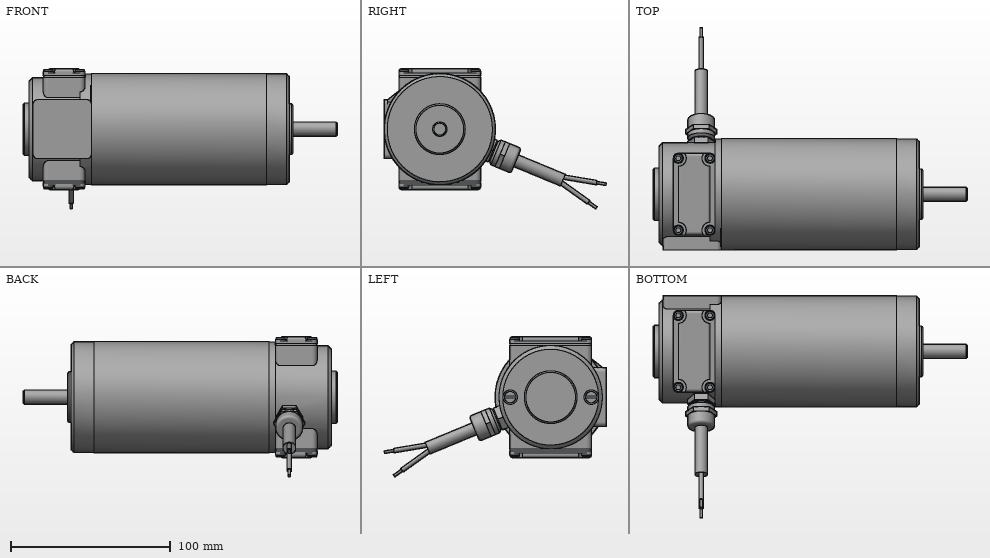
import cadquery as cq
import math


rear_face_x = 3.5
flange_x = 38.8
tube_x = 42.7
front_cap_x = 152.5
front_face_x = 166.9
front_boss_end_x = 169.2
shaft_end_x = 197

rear_boss_dia = 33.0
housing_dia = 64.8
cap_dia = 69.5
tube_dia = 70.0
front_boss_dia = 32.0
shaft_dia = 9.0

housing_chamfer = 2.4
front_cap_chamfer = 1.8
boss_chamfer = 1.0
shaft_chamfer = 0.8

rear_screw_y = 25.5
rear_bore_dia = 9.0
rear_bore_depth = 7.9
rear_head_dia = 7.0
rear_head_height = 3.0
rear_slot_width = 1.2
rear_slot_depth = 1.4

segment_edge_y = -19.7

pad_x = 6.3
pad_half_height = 18.5
pad_corner = 2.8

gusset_thickness = 0.4
gusset_foot_y = -32.7

box_x = 12.6
box_length = flange_x - box_x
box_width = 51.5
box_corner = 3.2
box_top_z = 32.5
gasket_height = 1.2
gasket_inset = 0.2
lid_height = 1.4
panel_height = 3.0
panel_side_fillet = 1.5
panel_end_fillet = 2.2
ear_height = 1.2
lid_head_dia = 6
lid_head_height = 1.2
lid_head_chamfer = 0.4
socket_width = 3.0
socket_depth = 1.4
scoop_dia = 10.0

gland_x = 30.1
gland_tilt = 22.5
base_hex_start = 28.5
base_hex_end = 35.9
base_hex_width = 14.8
neck_dia = 14.0
collar_start = 36.6
nut_start = 41.0
nut_end = 44.0
nut_width = 17.0
nose_dia = 17.0
nose_end = 51.8
collar_chamfer = (nose_dia - neck_dia) / 2
nose_fillet = 1.8
cable_dia = 8.0
cable_end = 83.5
wire_start = 74.9
wire_spread = 13
wire_dia = 3.0
core_dia = 1.8
insulation_length = 29.5
core_length = 35.7


def rod_x(diameter, start, end):
    """Cylinder on the motor axis between two X stations."""
    return cq.Workplane("YZ", origin=(start, 0, 0)).circle(diameter / 2).extrude(end - start)


def make_motor_body():
    rear_boss = rod_x(rear_boss_dia, 0, rear_face_x).faces("<X").chamfer(boss_chamfer)
    housing = rod_x(housing_dia, rear_face_x, tube_x).faces("<X").chamfer(housing_chamfer)
    flange = rod_x(cap_dia, flange_x, tube_x)
    tube = rod_x(tube_dia, tube_x, front_cap_x)
    front_cap = rod_x(cap_dia, front_cap_x, front_face_x).faces(">X").chamfer(front_cap_chamfer)
    front_boss = rod_x(front_boss_dia, front_face_x, front_boss_end_x).faces(">X").chamfer(boss_chamfer)
    shaft = rod_x(shaft_dia, front_boss_end_x, shaft_end_x).faces(">X").chamfer(shaft_chamfer)
    body = rear_boss
    for piece in (housing, flange, tube, front_cap, front_boss, shaft):
        body = body.union(piece)
    return body


def make_flange_segment():
    """Disc segment that thickens the flange up to where the box corner rounding begins."""
    start = flange_x - box_corner
    disc = rod_x(cap_dia, start, flange_x)
    pad_side = cq.Workplane("XY").box(tube_x, cap_dia, cap_dia, centered=(False, False, True))
    return disc.intersect(pad_side.translate((0, segment_edge_y - cap_dia, 0)))


def make_pad():
    pad = cq.Workplane("XY").box(
        tube_x - pad_x, tube_dia / 2, 2 * pad_half_height, centered=(False, False, True)
    )
    return pad.edges("|Y").fillet(pad_corner).translate((pad_x, -tube_dia / 2, 0))


def make_gusset():
    """Thin plate whose sloping edge is tangent to the flange and ends on the pad."""
    radius = cap_dia / 2
    foot_distance = math.hypot(gusset_foot_y, pad_half_height)
    tangent_angle = math.atan2(pad_half_height, gusset_foot_y) - math.acos(radius / foot_distance)
    tangent_point = (radius * math.cos(tangent_angle), radius * math.sin(tangent_angle))
    return (
        cq.Workplane("YZ", origin=(tube_x - gusset_thickness, 0, 0))
        .polyline([(0, 0), tangent_point, (gusset_foot_y, pad_half_height), (gusset_foot_y, 0)])
        .close()
        .extrude(gusset_thickness)
    )


def cut_rear_screws(body):
    """Sink two slotted screws into bores in the rear face."""
    floor_x = rear_face_x + rear_bore_depth
    head_x = floor_x - rear_head_height
    for y in (-rear_screw_y, rear_screw_y):
        bore = rod_x(rear_bore_dia, rear_face_x, floor_x)
        head = rod_x(rear_head_dia, head_x, floor_x)
        slot = cq.Workplane("XY").box(
            rear_slot_depth, rear_head_dia, rear_slot_width, centered=(False, True, True)
        )
        head = head.cut(slot.translate((head_x, 0, 0)))
        body = body.cut(bore.translate((0, y, 0))).union(head.translate((0, y, 0)))
    return body


def rounded_plate(inset, height, bottom_z):
    """Plate with the outline of the terminal box, moved inwards by inset."""
    return (
        cq.Workplane("XY")
        .box(box_length - 2 * inset, box_width - 2 * inset, height, centered=(True, True, False))
        .edges("|Z")
        .fillet(box_corner - inset)
        .translate((box_x + box_length / 2, 0, bottom_z))
    )


def make_terminal_box():
    """Upper terminal box: body, gasket, lid, raised panel and four socket screws."""
    lid_z = box_top_z + gasket_height
    panel_z = lid_z + lid_height
    head_z = panel_z + ear_height
    head_top_z = head_z + lid_head_height
    box = rounded_plate(0, box_top_z, 0)
    box = box.union(rounded_plate(gasket_inset, gasket_height, box_top_z))
    box = box.union(rounded_plate(0, lid_height, lid_z))

    middle_x = box_x + box_length / 2
    screw_dx = box_length / 2 - box_corner
    screw_dy = box_width / 2 - box_corner
    screws = cq.Workplane("XY").rect(2 * screw_dx, 2 * screw_dy, forConstruction=True).vertices()
    panel = (
        cq.Workplane("XY")
        .box(2 * screw_dx, box_width, panel_height, centered=(True, True, False))
        .faces(">Z")
        .edges("|Y")
        .fillet(panel_side_fillet)
        .faces("<Y or >Y")
        .edges(">Z")
        .fillet(panel_end_fillet)
        .cut(screws.circle(scoop_dia / 2).extrude(panel_height))
        .translate((middle_x, 0, panel_z))
    )
    ears = screws.circle(box_corner).extrude(ear_height)
    heads = screws.circle(lid_head_dia / 2).extrude(lid_head_height).faces(">Z").chamfer(lid_head_chamfer)
    socket_dia = socket_width / math.cos(math.pi / 6)
    sockets = screws.polygon(6, socket_dia).extrude(socket_depth)
    box = box.union(panel)
    box = box.union(ears.translate((middle_x, 0, panel_z)))
    box = box.union(heads.translate((middle_x, 0, head_z)))
    return box.cut(sockets.translate((middle_x, 0, head_top_z - socket_depth)))


def tilted_plane(distance, angle):
    """Plane on the gland axis, its normal in YZ at the given angle below +Y."""
    tilt = math.radians(gland_tilt)
    direction = math.radians(angle)
    return cq.Plane(
        origin=(gland_x, distance * math.cos(tilt), -distance * math.sin(tilt)),
        xDir=(1, 0, 0),
        normal=(0, math.cos(direction), -math.sin(direction)),
    )


def gland_rod(diameter, start, end):
    return cq.Workplane(tilted_plane(start, gland_tilt)).circle(diameter / 2).extrude(end - start)


def gland_hex(width, start, end):
    corner_dia = width / math.cos(math.pi / 6)
    return cq.Workplane(tilted_plane(start, gland_tilt)).polygon(6, corner_dia).extrude(end - start)


def make_gland():
    gland = gland_hex(base_hex_width, base_hex_start, base_hex_end)
    gland = gland.union(gland_rod(neck_dia, base_hex_start, collar_start))
    collar = gland_rod(nose_dia, collar_start, nut_start).faces("<Y").chamfer(collar_chamfer)
    nose = gland_rod(nose_dia, nut_end, nose_end).faces(">Y").fillet(nose_fillet)
    gland = gland.union(collar)
    gland = gland.union(gland_hex(nut_width, nut_start, nut_end))
    return gland.union(nose)


def make_cable():
    """Cable with two spread wires, each ending in a bare core."""
    cable = gland_rod(cable_dia, nut_start, cable_end)
    for spread in (-wire_spread, wire_spread):
        start = cq.Workplane(tilted_plane(wire_start, gland_tilt + spread))
        cable = cable.union(start.circle(wire_dia / 2).extrude(insulation_length))
        cable = cable.union(start.circle(core_dia / 2).extrude(core_length))
    return cable


upper_box = make_terminal_box()
motor = make_motor_body()
for part in (
    make_flange_segment(),
    make_pad(),
    make_gusset(),
    upper_box.union(upper_box.mirror("XY")),
    make_gland(),
    make_cable(),
):
    motor = motor.union(part)

result = cut_rear_screws(motor)